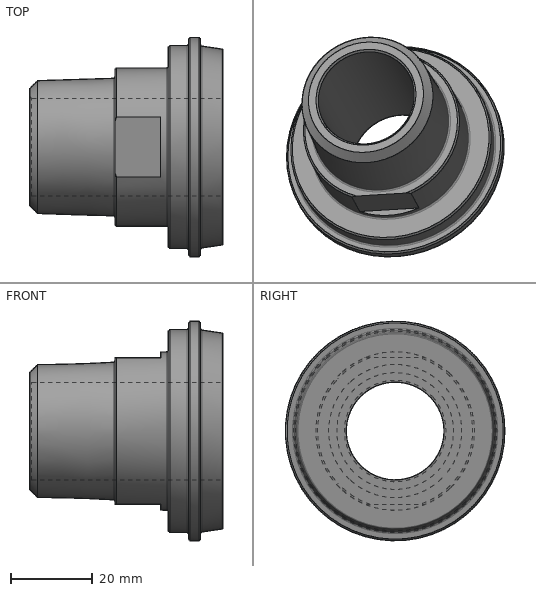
import cadquery as cq

spigot_chamfer = 2.0
collar_start = 20.95
flat_end = 32.25
flange_start = 34.1
ring_start = 39.05
ring_end = 42.05
total_length = 47.5

bore_radius = 24.0 / 2
spigot_tip_radius = 16.35
spigot_root_radius = 16.95
collar_radius = 39.0 / 2
flange_radius = 50.0 / 2
ring_radius = 54 / 2
cone_root_radius = 24.9
cone_tip_radius = 24.1

flat_height = 18.05
edge_chamfer = 0.45
corner_fillet = 0.4
tip_fillet = 0.2
bore_chamfer = 0.5
match_tolerance = 0.005


def turned_body():
    """Revolve the stepped outer profile about the X axis."""
    profile = (
        cq.Workplane("XY")
        .moveTo(0, 0)
        .lineTo(0, spigot_tip_radius - spigot_chamfer)
        .lineTo(spigot_chamfer, spigot_tip_radius)
        .lineTo(collar_start, spigot_root_radius)
        .lineTo(collar_start, collar_radius)
        .lineTo(flange_start, collar_radius)
        .lineTo(flange_start, flange_radius)
        .lineTo(ring_start, flange_radius)
        .lineTo(ring_start, ring_radius)
        .lineTo(ring_end, ring_radius)
        .lineTo(ring_end, cone_root_radius)
        .lineTo(total_length, cone_tip_radius)
        .lineTo(total_length, 0)
        .close()
    )
    return profile.revolve(360, (0, 0, 0), (1, 0, 0))


def circle_edges(body, x, radius):
    """Select the circular edge with the given position and radius."""
    edges = [
        edge
        for edge in body.edges("%CIRCLE").vals()
        if abs(edge.arcCenter().x - x) < match_tolerance
        and abs(edge.radius() - radius) < match_tolerance
    ]
    return body.newObject(edges)


def bore_and_chamfer(body):
    """Cut the through bore and break its edge at the spigot end."""
    bore = cq.Workplane("YZ").circle(bore_radius).extrude(total_length)
    return circle_edges(body.cut(bore), 0, bore_radius).chamfer(bore_chamfer)


def cut_flats(body):
    """Cut two opposite wrench flats into the collar."""
    depth = collar_radius - flat_height
    length = flat_end - collar_start
    for side in (1, -1):
        cutter = cq.Workplane("XY").box(length, 2 * collar_radius, depth).translate(
            (collar_start + length / 2, 0, side * (flat_height + depth / 2))
        )
        body = body.cut(cutter)
    return body


chamfered_edges = [
    (collar_start, collar_radius),
    (flange_start, flange_radius),
    (ring_start, ring_radius),
    (ring_end, ring_radius),
]
filleted_edges = [
    (collar_start, spigot_root_radius, corner_fillet),
    (flange_start, collar_radius, corner_fillet),
    (ring_start, flange_radius, corner_fillet),
    (ring_end, cone_root_radius, corner_fillet),
    (total_length, cone_tip_radius, tip_fillet),
]

result = turned_body()
for x, radius in chamfered_edges:
    result = circle_edges(result, x, radius).chamfer(edge_chamfer)
for x, radius, fillet in filleted_edges:
    result = circle_edges(result, x, radius).fillet(fillet)
result = cut_flats(bore_and_chamfer(result))